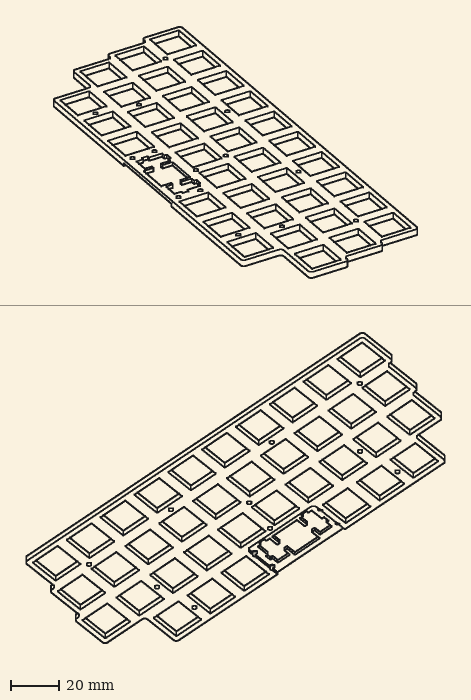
import cadquery as cq


plate_length = 196.8
plate_depth = 75.8
plate_thickness = 3.0
row_count = 4
keys_per_row = 10
key_span = 171.0
switch_size = 14.0

key_pitch = key_span / (keys_per_row - 1)
cell_size = plate_depth - (row_count - 1) * key_pitch
row_length = key_span + cell_size
row_stagger = (plate_length - row_length) / 2
row_y = [((row_count - 1) / 2 - row) * key_pitch for row in range(row_count)]
row_x = [-row_stagger, 0, row_stagger, 0]
front_row_y = row_y[-1]

corner_radius = 1.5
front_row_slots = 8
front_row_length = (front_row_slots - 1) * key_pitch + cell_size

stabilizer_offset = 11.8
stabilizer_width = 6.7
stabilizer_top = 6.9
stabilizer_bottom = -5.5
tab_width = 3.0
tab_height = 1.2
notch_depth = 1.2
notch_height = 2.8
notch_y = -0.8
wire_channel_height = 4.3

hole_diameter = 2.0
back_inner_hole_x = [-30.1, 26.5]
spacebar_hole_y = -16.5
stabilizer_hole_x = 18.3
stabilizer_hole_y = [5.1, -5.5]

relief_height = 1.28
relief_radius = 2.0
relief_length = key_pitch + cell_size
relief_depth = key_pitch


def plate_blank():
    left = [x - row_length / 2 for x in row_x[:3]]
    right = [x + row_length / 2 for x in row_x[:3]]
    back = [y + cell_size / 2 for y in row_y]
    front = [y - cell_size / 2 for y in row_y]
    front_x = front_row_length / 2

    outline = [
        (left[0], back[0]),
        (right[0], back[0]),
        (right[0], back[1]),
        (right[1], back[1]),
        (right[1], back[2]),
        (right[2], back[2]),
        (right[2], front[2]),
        (front_x, front[2]),
        (front_x, front[3]),
        (-front_x, front[3]),
        (-front_x, front[2]),
        (left[2], front[2]),
        (left[2], front[1]),
        (left[1], front[1]),
        (left[1], front[0]),
        (left[0], front[0]),
    ]
    blank = cq.Workplane("XY").polyline(outline).close().extrude(plate_thickness)
    return blank.edges("|Z").fillet(corner_radius)


def through_box(x, y, width, height):
    return cq.Workplane("XY").center(x, y).rect(width, height).extrude(plate_thickness)


def switch_cutouts():
    full_row = [slot - (keys_per_row - 1) / 2 for slot in range(keys_per_row)]
    front_row = [-3.5, -2.5, -1.5, 0, 1.5, 2.5, 3.5]
    centres = [(row_x[row] + slot * key_pitch, row_y[row]) for row in range(3) for slot in full_row]
    centres += [(slot * key_pitch, front_row_y) for slot in front_row]
    return cq.Workplane("XY").pushPoints(centres).rect(switch_size, switch_size).extrude(plate_thickness)


def stabilizer_cutouts():
    channel_length = 2 * stabilizer_offset
    cutouts = through_box(0, front_row_y, channel_length, wire_channel_height)
    body_height = stabilizer_top - stabilizer_bottom
    body_y = front_row_y + (stabilizer_top + stabilizer_bottom) / 2
    for side in (-1, 1):
        x = side * stabilizer_offset
        outer_x = side * (stabilizer_offset + stabilizer_width / 2)
        body = through_box(x, body_y, stabilizer_width, body_height)
        tab = through_box(x, front_row_y + stabilizer_top, tab_width, 2 * tab_height)
        notch = through_box(outer_x, front_row_y + notch_y, 2 * notch_depth, notch_height)
        cutouts = cutouts.union(body).union(tab).union(notch)
    return cutouts


def round_holes():
    first_gap = key_span / 2 - key_pitch / 2
    back_gap_y = (row_y[0] + row_y[1]) / 2
    centres = [
        (row_x[0] - first_gap, back_gap_y),
        (back_inner_hole_x[0], back_gap_y),
        (back_inner_hole_x[1], back_gap_y),
        (row_x[0] + first_gap, back_gap_y),
        (0, 0),
        (row_x[2] - 3 * key_pitch, row_y[2]),
        (row_x[2], spacebar_hole_y),
        (row_x[2] + 3 * key_pitch, row_y[2]),
        (-3 * key_pitch, front_row_y),
        (3 * key_pitch, front_row_y),
    ]
    centres += [(side * stabilizer_hole_x, front_row_y + y) for side in (-1, 1) for y in stabilizer_hole_y]
    return cq.Workplane("XY").pushPoints(centres).circle(hole_diameter / 2).extrude(plate_thickness)


def spacebar_relief():
    return (
        cq.Workplane("XY")
        .center(0, (relief_depth - plate_depth) / 2)
        .rect(relief_length, relief_depth)
        .extrude(relief_height)
        .edges("|Z and >Y")
        .fillet(relief_radius)
    )


result = (
    plate_blank()
    .cut(switch_cutouts())
    .cut(stabilizer_cutouts())
    .cut(round_holes())
    .cut(spacebar_relief())
)